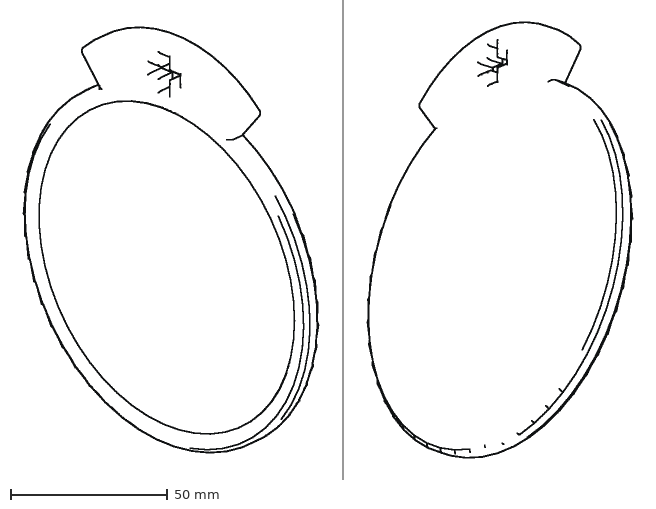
import cadquery as cq
import math

DISC_DIAMETER = 124.9
THICKNESS = 6.3
TOTAL_HEIGHT = 143.7
EDGE_FILLET = 1.5

FAN_RADIUS = 52.0
FAN_FOOT_HALF_WIDTH = 29.3
FAN_TIP_HALF_WIDTH = 37.5
FAN_CORNER_RADIUS = 1.6

RECESS_RADIUS = 56.2
RECESS_DEPTH = 1.5

CROSS_SPAN = 13.0
CROSS_ARM_WIDTH = 3.5
CROSS_FILLET = 1.0
CROSS_CENTER_Z = 69.0

DISC_RADIUS = DISC_DIAMETER / 2
FRONT_Y = -THICKNESS / 2
FAN_TOP_Z = TOTAL_HEIGHT - DISC_RADIUS
FAN_CENTER_Z = FAN_TOP_Z - FAN_RADIUS
FAN_FOOT_Z = math.sqrt(DISC_RADIUS**2 - FAN_FOOT_HALF_WIDTH**2)
FAN_TIP_Z = FAN_CENTER_Z + math.sqrt(FAN_RADIUS**2 - FAN_TIP_HALF_WIDTH**2)


def back_face_plane():
    """Workplane on the back face, so that extrusion runs forward over the full thickness."""
    return cq.Workplane("XZ", origin=(0, THICKNESS / 2, 0))


def blank():
    """Disc and fan hanger as one plate with rounded front and back edges."""
    plate = (
        back_face_plane()
        .moveTo(-FAN_FOOT_HALF_WIDTH, FAN_FOOT_Z)
        .lineTo(-FAN_TIP_HALF_WIDTH, FAN_TIP_Z)
        .threePointArc((0, FAN_TOP_Z), (FAN_TIP_HALF_WIDTH, FAN_TIP_Z))
        .lineTo(FAN_FOOT_HALF_WIDTH, FAN_FOOT_Z)
        .threePointArc((0, -DISC_RADIUS), (-FAN_FOOT_HALF_WIDTH, FAN_FOOT_Z))
        .close()
        .extrude(THICKNESS)
    )
    fan_tips = cq.selectors.BoxSelector(
        (-DISC_RADIUS, -THICKNESS, FAN_TIP_Z - FAN_CORNER_RADIUS),
        (DISC_RADIUS, THICKNESS, FAN_TIP_Z + FAN_CORNER_RADIUS),
    )
    plate = plate.edges("|Y").edges(fan_tips).fillet(FAN_CORNER_RADIUS)
    return plate.faces("<Y or >Y").edges().fillet(EDGE_FILLET)


def recess_cutter():
    """Shallow round pocket whose wall flares outward in a quarter circle up to the front face."""
    flare = RECESS_DEPTH
    floor_y = FRONT_Y + RECESS_DEPTH
    half_diagonal = flare * math.sqrt(0.5)
    return (
        cq.Workplane("XY")
        .moveTo(0, floor_y)
        .lineTo(RECESS_RADIUS, floor_y)
        .threePointArc(
            (RECESS_RADIUS + flare - half_diagonal, floor_y - half_diagonal),
            (RECESS_RADIUS + flare, FRONT_Y),
        )
        .lineTo(0, FRONT_Y)
        .close()
        .revolve(360, (0, 0, 0), (0, 1, 0))
    )


def cross_cutter():
    """Through hole in the shape of a cross."""
    center = back_face_plane().center(0, CROSS_CENTER_Z)
    upright = center.rect(CROSS_ARM_WIDTH, CROSS_SPAN).extrude(THICKNESS)
    crossbar = center.rect(CROSS_SPAN, CROSS_ARM_WIDTH).extrude(THICKNESS)
    return upright.union(crossbar)


def medallion_body():
    """Plate with the cross hole, its rounded mouths, and the front recess."""
    half_span = CROSS_SPAN / 2 + CROSS_FILLET
    cross_region = cq.selectors.BoxSelector(
        (-half_span, -THICKNESS, CROSS_CENTER_Z - half_span),
        (half_span, THICKNESS, CROSS_CENTER_Z + half_span),
    )
    plate = blank().cut(cross_cutter())
    plate = plate.faces("<Y or >Y").edges(cross_region).fillet(CROSS_FILLET)
    return plate.cut(recess_cutter())


medallion = medallion_body()

result = cq.Compound.makeCompound([medallion.val()])